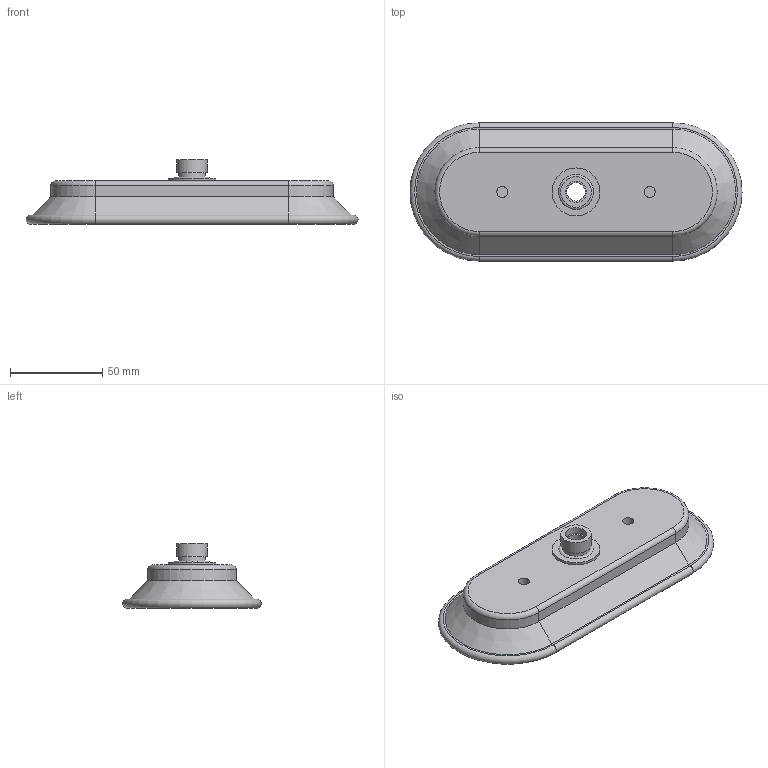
import cadquery as cq
import math

length = 180.0
width = 75.0
end_spacing = length - width
base_radius = width / 2

rim_height = 5.0
rim_round = rim_height / 2
body_width = 48.0
body_radius = body_width / 2
skirt_top_z = 15.0
body_top_z = 23.5
body_fillet = 2.5
skirt_rise = skirt_top_z - rim_height
skirt_base_radius = body_radius + skirt_rise

overall_height = 35.0
flange_diameter = 26.0
flange_top_z = 25.0
neck_diameter = 14.5
bead_diameter = 18.8
bead_height = 0.6
bead_crest_radius = (bead_diameter + neck_diameter) / 4
head_diameter = 16.66
head_bottom_z = 28.0
bore_diameter = 10.0
counterbore_diameter = 11.5
counterbore_depth = 4.0

side_hole_diameter = 6.0
side_hole_spacing = 80.0
side_hole_depth = 10.0


def body_section(plane):
    """Half section of the oval body, in (distance from the spine, height)."""
    round_start = base_radius - rim_round
    fillet_start = body_radius - body_fillet
    fillet_z = body_top_z - body_fillet
    diagonal = body_fillet * math.cos(math.radians(45))
    return (
        cq.Workplane(plane)
        .lineTo(round_start, 0)
        .threePointArc((base_radius, rim_round), (round_start, rim_height))
        .lineTo(skirt_base_radius, rim_height)
        .lineTo(body_radius, skirt_top_z)
        .lineTo(body_radius, fillet_z)
        .threePointArc(
            (fillet_start + diagonal, fillet_z + diagonal),
            (fillet_start, body_top_z),
        )
        .lineTo(0, body_top_z)
        .close()
    )


def oval_body():
    """Straight middle stretch closed by a half-turn of the section at each end."""
    end_x = end_spacing / 2
    side_wall = body_section("YZ").extrude(end_x, both=True)
    round_end = body_section("YZ").revolve(180, (0, 0, 0), (0, 1, 0))
    left_end = round_end.translate((-end_x, 0, 0))
    half = side_wall.union(left_end)
    return half.union(half.rotate((0, 0, 0), (0, 0, 1), 180))


def fitting():
    """Turned flange, sealing bead, neck and head on the middle of the body."""
    return (
        cq.Workplane("XZ")
        .moveTo(0, body_top_z)
        .lineTo(flange_diameter / 2, body_top_z)
        .lineTo(flange_diameter / 2, flange_top_z)
        .lineTo(bead_diameter / 2, flange_top_z)
        .threePointArc(
            (bead_crest_radius, flange_top_z + bead_height),
            (neck_diameter / 2, flange_top_z),
        )
        .lineTo(neck_diameter / 2, head_bottom_z)
        .lineTo(head_diameter / 2, head_bottom_z)
        .lineTo(head_diameter / 2, overall_height)
        .lineTo(0, overall_height)
        .close()
        .revolve(360, (0, 0, 0), (0, 1, 0))
    )


def cut_fitting_bore(part):
    """Through bore with a wider counterbore in the head."""
    return (
        part.faces(">Z")
        .workplane(origin=(0, 0, overall_height))
        .cboreHole(bore_diameter, counterbore_diameter, counterbore_depth)
    )


def cut_side_holes(part):
    """Two blind holes in the top of the body, along its length."""
    holes = (
        cq.Workplane("XY", origin=(0, 0, body_top_z))
        .pushPoints([(side * side_hole_spacing / 2, 0) for side in (-1, 1)])
        .circle(side_hole_diameter / 2)
        .extrude(-side_hole_depth)
    )
    return part.cut(holes)


result = cut_side_holes(cut_fitting_bore(oval_body().union(fitting())))